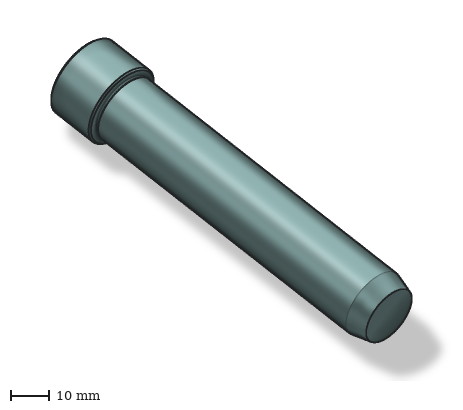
import cadquery as cq
import math

total_length = 115.0
head_diameter = 24.0
head_length = 15.0
shank_diameter = 20.0

head_chamfer = 0.5
relief_depth = 0.45
relief_length = 1.0
lead_in_length = 6.0
lead_in_angle = 15.0

head_radius = head_diameter / 2
shank_radius = shank_diameter / 2
relief_radius = shank_radius - relief_depth
relief_end = head_length + relief_length
relief_middle = head_length + relief_length / 2
lead_in_start = total_length - lead_in_length
tip_radius = shank_radius - lead_in_length * math.tan(math.radians(lead_in_angle))


def make_pin():
    """Revolve the half profile (position along X, radius along Z) around the X axis."""
    profile = (
        cq.Workplane("XZ")
        .moveTo(0, 0)
        .lineTo(0, head_radius - head_chamfer)
        .lineTo(head_chamfer, head_radius)
        .lineTo(head_length - head_chamfer, head_radius)
        .lineTo(head_length, head_radius - head_chamfer)
        .lineTo(head_length, shank_radius)
        .threePointArc((relief_middle, relief_radius), (relief_end, shank_radius))
        .lineTo(lead_in_start, shank_radius)
        .lineTo(total_length, tip_radius)
        .lineTo(total_length, 0)
        .close()
    )
    return profile.revolve(360, (0, 0, 0), (1, 0, 0))


result = make_pin()